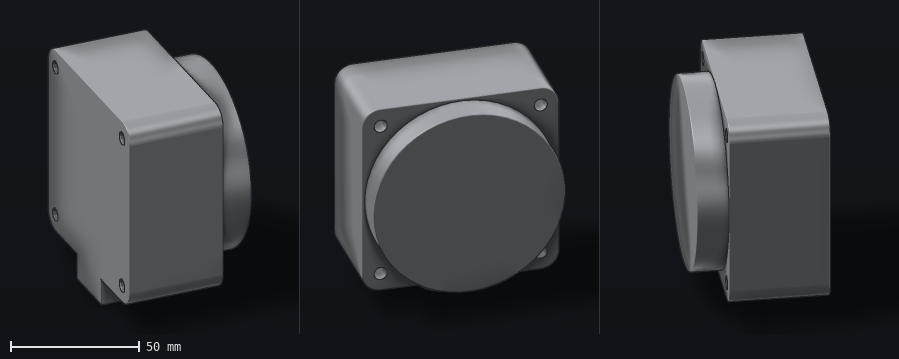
import cadquery as cq

housing_side = 80.0
housing_depth = 40.0
corner_radius = 7.5
edge_radius = 0.5

cover_diameter = 78.0
cover_thickness = 12.5

outlet_width = 24.0
outlet_drop = 11.0
outlet_depth = 28.0

hole_diameter = 5.3
hole_spacing = housing_side - 2 * corner_radius


def make_housing():
    return (
        cq.Workplane("XZ")
        .rect(housing_side, housing_side)
        .extrude(-housing_depth)
        .edges("|Y")
        .fillet(corner_radius)
        .faces(">Y")
        .edges()
        .fillet(edge_radius)
    )


def make_outlet():
    half_width = outlet_width / 2
    straight_depth = outlet_depth - half_width
    bottom = -housing_side / 2 - outlet_drop
    return (
        cq.Workplane("XY", origin=(0, 0, bottom))
        .moveTo(-half_width, 0)
        .lineTo(half_width, 0)
        .lineTo(half_width, straight_depth)
        .threePointArc((0, outlet_depth), (-half_width, straight_depth))
        .close()
        .extrude(outlet_drop + corner_radius)
    )


def make_cover():
    return (
        cq.Workplane("XZ", origin=(0, housing_depth, 0))
        .circle(cover_diameter / 2)
        .extrude(-cover_thickness)
        .faces(">Y")
        .edges()
        .fillet(edge_radius)
    )


def make_mounting_holes():
    return (
        cq.Workplane("XZ")
        .rect(hole_spacing, hole_spacing, forConstruction=True)
        .vertices()
        .circle(hole_diameter / 2)
        .extrude(-housing_depth)
    )


shell = make_housing().union(make_outlet()).faces("<Y").edges().fillet(edge_radius)

result = shell.union(make_cover()).cut(make_mounting_holes())